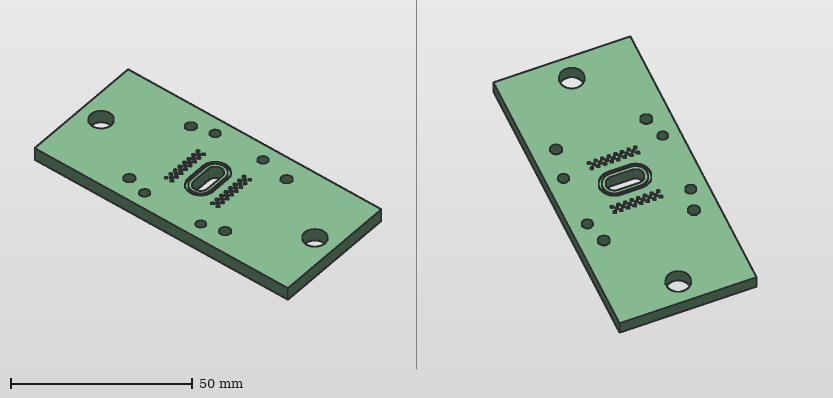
import cadquery as cq

length = 90
width = 41.0
thickness = 4.4

mount_diameter = 7.1
mount_x = 38.0

fixing_diameter = 3.4
fixing_x = 17.0
fixing_y = 13.5

locator_diameter = 3.15
small_locator_diameter = 3.0
locator_x = 10.0
inset_locator_x = 7.0
locator_y = 15.5

pin_diameter = 0.88
pin_pitch = 2.0
pin_bank_x = 8.2
outer_row_count = 8
middle_row_count = outer_row_count - 1

window_width = 4.9
end_centre_spacing = 6.4
groove_inner_width = 6.9
groove_wall = 0.9
groove_depth = 0.7
groove_outer_width = groove_inner_width + 2 * groove_wall


def through_holes(points, diameter):
    """Cylinders through the full thickness at the given points."""
    return cq.Workplane("XY").pushPoints(points).circle(diameter / 2).extrude(thickness)


def rounded_slot(slot_width, depth):
    """Round-ended slot along Y, sunk from the top face."""
    slot_length = end_centre_spacing + slot_width
    return (
        cq.Workplane("XY")
        .workplane(offset=thickness - depth)
        .slot2D(slot_length, slot_width, 90)
        .extrude(depth)
    )


def pin_column(x, count):
    """Evenly pitched points in a column centred on Y = 0."""
    return [(x, (i - (count - 1) / 2) * pin_pitch) for i in range(count)]


def pin_points():
    points = []
    for bank_x in (-pin_bank_x, pin_bank_x):
        points += pin_column(bank_x - pin_pitch / 2, outer_row_count)
        points += pin_column(bank_x, middle_row_count)
        points += pin_column(bank_x + pin_pitch / 2, outer_row_count)
    return points


mount_points = [(-mount_x, 0), (mount_x, 0)]
fixing_points = [(x, y) for x in (-fixing_x, fixing_x) for y in (-fixing_y, fixing_y)]
locator_points = [
    (-locator_x, -locator_y),
    (-locator_x, locator_y),
    (inset_locator_x, locator_y),
]
small_locator_points = [(locator_x, -locator_y)]

seal_groove = rounded_slot(groove_outer_width, groove_depth).cut(
    rounded_slot(groove_inner_width, groove_depth)
)

result = (
    cq.Workplane("XY")
    .box(length, width, thickness, centered=(True, True, False))
    .cut(through_holes(mount_points, mount_diameter))
    .cut(through_holes(fixing_points, fixing_diameter))
    .cut(through_holes(locator_points, locator_diameter))
    .cut(through_holes(small_locator_points, small_locator_diameter))
    .cut(through_holes(pin_points(), pin_diameter))
    .cut(rounded_slot(window_width, thickness))
    .cut(seal_groove)
)